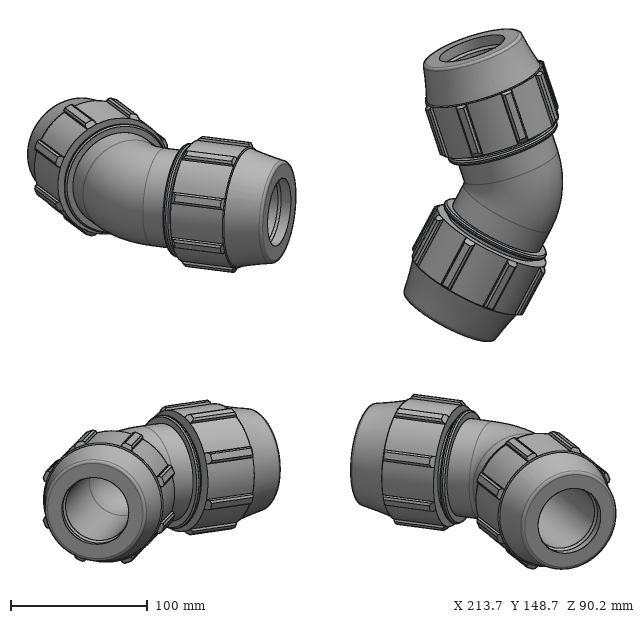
import cadquery as cq

bend_angle = 45
bend_radius = 41.2
pipe_radius = 72.0 / 2
arm_length = 93.0

ring_radius = 83.5 / 2
ring_start = 17.3
ring_width = 3.8
ring_bevel_length = ring_width / 3
ring_bevel_depth = 1.0

nut_start = 24.5
body_end = 65.0
body_radius = 44.6
shoulder_length = 0.6
taper_start = body_end + shoulder_length
taper_start_radius = 43.5
taper_end_radius = 37.5
taper_sag = 0.5
end_fillet = 2.3

rib_count = 8
rib_tip_radius = 47.8
rib_shoulder_radius = 46.3
rib_root_radius = 42.7
rib_tip_half_width = 2.5
rib_half_width = 4.0
rib_tip_start = nut_start + 3.2
rib_tip_end = body_end - 1.5

entry_radius = 50.0 / 2
entry_inner_radius = 25.8
entry_depth = 8.0
bore_radius = 24.3
bore_depth = 9.8


def spin(profile):
    """Revolve a closed profile, drawn as (axial, radial), about the X axis."""
    return profile.close().revolve(360, (0, 0, 0), (1, 0, 0))


def make_pipe():
    return cq.Workplane("YZ").circle(pipe_radius).extrude(nut_start)


def make_ring():
    ring_end = ring_start + ring_width
    bevel_radius = ring_radius - ring_bevel_depth
    return spin(
        cq.Workplane("XY")
        .moveTo(ring_start, 0)
        .lineTo(ring_start, bevel_radius)
        .lineTo(ring_start + ring_bevel_length, ring_radius)
        .lineTo(ring_end - ring_bevel_length, ring_radius)
        .lineTo(ring_end, bevel_radius)
        .lineTo(ring_end, 0)
    )


def make_nut():
    taper_middle = (taper_start + arm_length) / 2
    taper_middle_radius = (taper_start_radius + taper_end_radius) / 2 - taper_sag
    nut = spin(
        cq.Workplane("XY")
        .moveTo(nut_start, 0)
        .lineTo(nut_start, body_radius)
        .lineTo(body_end, body_radius)
        .lineTo(taper_start, taper_start_radius)
        .threePointArc((taper_middle, taper_middle_radius), (arm_length, taper_end_radius))
        .lineTo(arm_length, 0)
    )
    return nut.faces(">X").edges().fillet(end_fillet)


def make_rib():
    """One rib pointing along +Z: its cross-section cut to its slanted side outline."""
    right_side = [
        (rib_half_width, rib_root_radius),
        (rib_half_width, rib_shoulder_radius),
        (rib_tip_half_width, rib_tip_radius),
    ]
    left_side = [(-y, z) for y, z in reversed(right_side)]
    section = cq.Workplane("YZ").polyline(right_side + left_side).close().extrude(arm_length)
    outline = (
        cq.Workplane("XZ")
        .moveTo(nut_start, rib_root_radius)
        .lineTo(nut_start, body_radius)
        .lineTo(rib_tip_start, rib_tip_radius)
        .lineTo(rib_tip_end, rib_tip_radius)
        .lineTo(body_end, body_radius)
        .lineTo(body_end, rib_root_radius)
        .close()
        .extrude(rib_half_width, both=True)
    )
    return section.intersect(outline)


def make_arm():
    arm = make_pipe().union(make_ring()).union(make_nut())
    rib = make_rib()
    rib_pitch = 360 / rib_count
    for i in range(rib_count):
        arm = arm.union(rib.rotate((0, 0, 0), (1, 0, 0), (i + 0.5) * rib_pitch))
    bore = spin(
        cq.Workplane("XY")
        .moveTo(0, 0)
        .lineTo(0, bore_radius)
        .lineTo(arm_length - bore_depth, bore_radius)
        .lineTo(arm_length - entry_depth, entry_inner_radius)
        .lineTo(arm_length, entry_radius)
        .lineTo(arm_length, 0)
    )
    return arm.cut(bore).translate((0, -bend_radius, 0))


def make_bend():
    """Hollow elbow turning clockwise from the first arm to the second."""
    return (
        cq.Workplane("YZ", origin=(0, -bend_radius, 0))
        .circle(pipe_radius)
        .circle(bore_radius)
        .revolve(bend_angle, (bend_radius, 0, 0), (bend_radius, -1, 0))
    )


first_arm = make_arm()
second_arm = first_arm.mirror("YZ").rotate((0, 0, 0), (0, 0, 1), -bend_angle)
result = first_arm.union(make_bend()).union(second_arm)